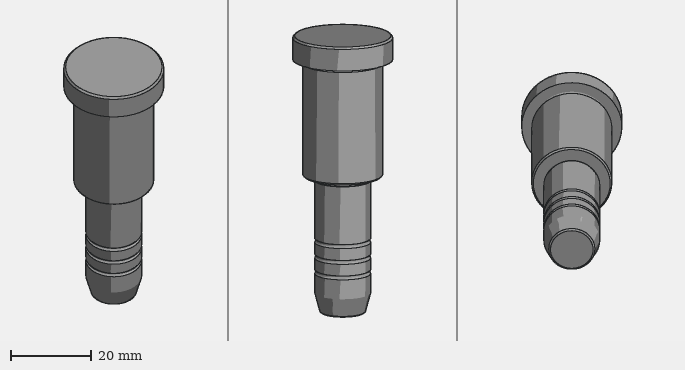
import cadquery as cq
import math

total_length = 71.0
head_diameter = 25.0
shank_diameter = 20.0
pin_diameter = 14.0

head_height = 6.0
shank_end_depth = 36.0
groove_depths = (52.0, 56.0, 60.0)
groove_radius = 0.5
neck_width = 1.15
neck_diameter = 13.0

head_chamfer = 0.5
shank_chamfer = 0.4
tip_length = 5.0
tip_angle = 15.0
tip_chamfer = 0.35


def cylinder(diameter, top, bottom):
    """Cylinder on the Z axis between two heights."""
    return cq.Workplane("XY").workplane(offset=bottom).circle(diameter / 2).extrude(top - bottom)


def groove_ring(diameter, top):
    """Ring with a half-disc section that cuts a half-round groove into a cylinder."""
    radius = diameter / 2
    return (
        cq.Workplane("XZ")
        .moveTo(radius, top)
        .threePointArc((radius - groove_radius, top - groove_radius), (radius, top - 2 * groove_radius))
        .close()
        .revolve(360, (0, 0), (0, 1))
    )


head_bottom = total_length - head_height
shank_bottom = total_length - shank_end_depth
pin_top = shank_bottom - neck_width

head = cylinder(head_diameter, total_length, head_bottom).faces(">Z").chamfer(head_chamfer)
shank = cylinder(shank_diameter, head_bottom, shank_bottom).faces("<Z").chamfer(shank_chamfer)
shank = shank.cut(groove_ring(shank_diameter, head_bottom))

neck = cylinder(neck_diameter, shank_bottom, pin_top)
pin = cylinder(pin_diameter, pin_top, tip_length)
tip = (
    cq.Workplane("XY")
    .workplane(offset=tip_length)
    .circle(pin_diameter / 2)
    .workplane(offset=-tip_length)
    .circle(pin_diameter / 2 - tip_length * math.tan(math.radians(tip_angle)))
    .loft(ruled=True)
    .faces("<Z")
    .chamfer(tip_chamfer)
)

for groove_depth in groove_depths:
    pin = pin.cut(groove_ring(pin_diameter, total_length - groove_depth))

result = head.union(shank).union(neck).union(pin).union(tip)